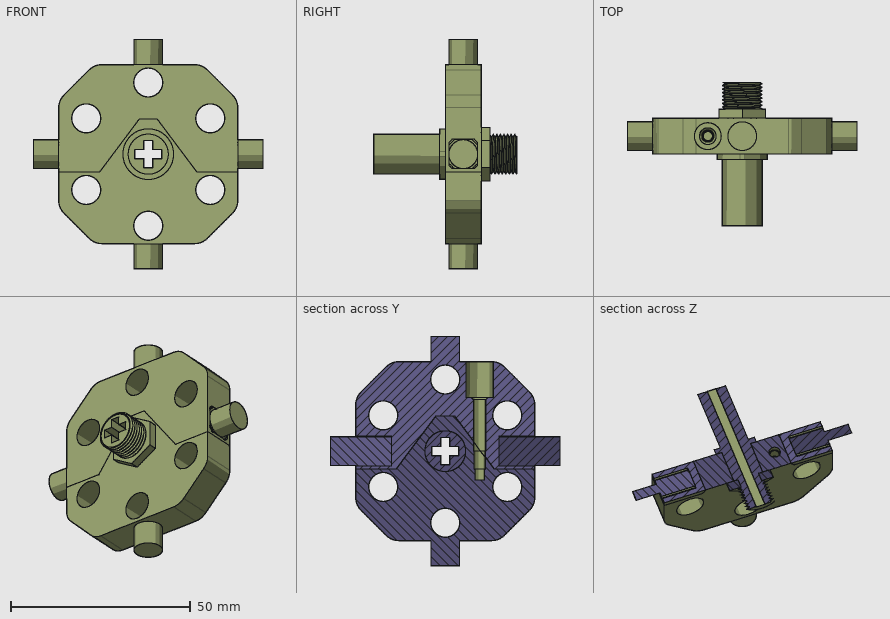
import cadquery as cq
import math

OVERALL = 64.0
PLATE_SIZE = 50.0
PLATE_THICKNESS = 10.05
CORNER_CUT = 10.0
CORNER_RADIUS = 5.0

JOINT_Z = -5.0
JOINT_KNEE_X = 13.6
JOINT_PEAK_Z = 9.8
JOINT_PEAK_HALF_WIDTH = 2.5

HOLE_COUNT = 6
HOLE_DIAMETER = 8.0
HOLE_CIRCLE_RADIUS = 20.0

VERTICAL_PIN_DIAMETER = 8.0
SIDE_PIN_DIAMETER = 8.05
PIN_BASE_CUT = 1.55
POCKET_HEADROOM = 0.1
POCKET_CUT = 0.95
POCKET_DEPTH = 10.0

SCREW_X = -9.6
SCREW_HEAD_DIAMETER = 7.5
SCREW_SEAT_DEPTH = 10.0
SCREW_SINK_DIAMETER = 4.7
SCREW_CLEARANCE_DIAMETER = 3.4
SCREW_THREAD_DIAMETER = 3.1
SCREW_CORE_DIAMETER = 2.55
SCREW_SINK_BOTTOM_Z = 14.35
SCREW_THREAD_TOP_Z = 0.0
SCREW_THREAD_BOTTOM_Z = -5.0
SCREW_CORE_BOTTOM_Z = -8.0

SHAFT_DIAMETER = 11.2
SHAFT_FRONT_Y = -25.0
COLLAR_DIAMETER = 14.15
COLLAR_ACROSS_FLATS = 14.1
COLLAR_HEIGHT = 1.55
SPINDLE_BACK_Y = 15.0
THREAD_DIAMETER = 11.15
THREAD_ROOT_DIAMETER = 9.7
THREAD_PITCH = 1.0
THREAD_RIDGE_WIDTH = 0.9
THREAD_RUN_IN = 0.9
THREAD_OVERLAP = 0.05
CROSS_LENGTH = 7.5
CROSS_WIDTH = 2.5

NUT_ACROSS_FLATS = 13.0
NUT_THICKNESS = 2.5
NUT_SIDES = 6
CORNER_UP_ANGLE = 90

PLATE_HALF = PLATE_SIZE / 2
PLATE_FRONT_Y = -PLATE_THICKNESS / 2
PLATE_BACK_Y = PLATE_THICKNESS / 2
NUT_BACK_Y = PLATE_BACK_Y + NUT_THICKNESS
PIN_LENGTH = OVERALL / 2 - PLATE_HALF


def xz_plane(y):
    """Workplane across the spindle axis; its own normal points to -Y."""
    return cq.Workplane("XZ", origin=(0, y, 0))


def cylinder_along_y(diameter, start_y, end_y):
    return xz_plane(start_y).circle(diameter / 2).extrude(start_y - end_y)


def make_plate():
    plate = (
        xz_plane(PLATE_BACK_Y)
        .rect(PLATE_SIZE, PLATE_SIZE)
        .extrude(PLATE_THICKNESS)
        .edges("|Y")
        .chamfer(CORNER_CUT)
        .edges("|Y")
        .fillet(CORNER_RADIUS)
    )
    holes = (
        xz_plane(PLATE_BACK_Y)
        .polarArray(HOLE_CIRCLE_RADIUS, 90, 360, HOLE_COUNT)
        .circle(HOLE_DIAMETER / 2)
        .extrude(PLATE_THICKNESS)
    )
    bore = cylinder_along_y(SHAFT_DIAMETER, PLATE_FRONT_Y, PLATE_BACK_Y)
    return plate.cut(holes).cut(bore).cut(make_screw_hole())


def make_screw_hole():
    """Counterbored and countersunk hole from the top edge, stepped down to a thread core."""
    seat_z = PLATE_HALF - SCREW_SEAT_DEPTH
    profile = [
        (0, PLATE_HALF),
        (SCREW_HEAD_DIAMETER / 2, PLATE_HALF),
        (SCREW_HEAD_DIAMETER / 2, seat_z),
        (SCREW_SINK_DIAMETER / 2, seat_z),
        (SCREW_CLEARANCE_DIAMETER / 2, SCREW_SINK_BOTTOM_Z),
        (SCREW_CLEARANCE_DIAMETER / 2, SCREW_THREAD_TOP_Z),
        (SCREW_THREAD_DIAMETER / 2, SCREW_THREAD_TOP_Z),
        (SCREW_THREAD_DIAMETER / 2, SCREW_THREAD_BOTTOM_Z),
        (SCREW_CORE_DIAMETER / 2, SCREW_THREAD_BOTTOM_Z),
        (SCREW_CORE_DIAMETER / 2, SCREW_CORE_BOTTOM_Z),
        (0, SCREW_CORE_BOTTOM_Z),
    ]
    hole = cq.Workplane("XZ").polyline(profile).close().revolve(360, (0, 0, 0), (0, 1, 0))
    return hole.translate((SCREW_X, 0, 0))


def make_lower_region():
    """Everything below the joint, as a block larger than the plate."""
    reach = OVERALL
    outline = [
        (-reach, -reach),
        (-reach, JOINT_Z),
        (-JOINT_KNEE_X, JOINT_Z),
        (-JOINT_PEAK_HALF_WIDTH, JOINT_PEAK_Z),
        (JOINT_PEAK_HALF_WIDTH, JOINT_PEAK_Z),
        (JOINT_KNEE_X, JOINT_Z),
        (reach, JOINT_Z),
        (reach, -reach),
    ]
    return xz_plane(PLATE_BACK_Y).polyline(outline).close().extrude(PLATE_THICKNESS)


def make_vertical_pin(direction):
    """Pin on the top (direction +1) or bottom (direction -1) edge of the plate."""
    plane = cq.Workplane("XY", origin=(0, 0, direction * PLATE_HALF))
    return plane.circle(VERTICAL_PIN_DIAMETER / 2).extrude(direction * PIN_LENGTH)


def make_pin_block(headroom, corner_cut, side):
    """Square block with cut corners, set into the plate side and made taller by the headroom."""
    plane = cq.Workplane("YZ", origin=(side * PLATE_HALF, 0, headroom / 2))
    block = plane.rect(SIDE_PIN_DIAMETER, SIDE_PIN_DIAMETER + headroom).extrude(-side * POCKET_DEPTH)
    return block.edges("|X").chamfer(corner_cut)


def make_upper_half():
    upper = make_plate().cut(make_lower_region()).union(make_vertical_pin(1))
    for side in (-1, 1):
        upper = upper.cut(make_pin_block(POCKET_HEADROOM, POCKET_CUT, side))
    return upper


def make_lower_half():
    return make_plate().intersect(make_lower_region()).union(make_vertical_pin(-1))


def make_side_pin(side):
    """Round pin on a square base, on the +X (side +1) or -X (side -1) edge."""
    plane = cq.Workplane("YZ", origin=(side * PLATE_HALF, 0, 0))
    shank = plane.circle(SIDE_PIN_DIAMETER / 2).extrude(side * PIN_LENGTH)
    return make_pin_block(0, PIN_BASE_CUT, side).union(shank)


def make_collar():
    """Round collar with four narrow flats."""
    collar = cylinder_along_y(COLLAR_DIAMETER, PLATE_FRONT_Y - COLLAR_HEIGHT, PLATE_FRONT_Y)
    flats = (
        xz_plane(PLATE_FRONT_Y)
        .rect(COLLAR_ACROSS_FLATS, COLLAR_ACROSS_FLATS)
        .extrude(COLLAR_HEIGHT)
    )
    return collar.intersect(flats)


def make_thread():
    """Helical ridge on the root cylinder behind the nut, trimmed flush at both ends."""
    root_radius = THREAD_ROOT_DIAMETER / 2
    crest_radius = THREAD_DIAMETER / 2
    start_y = NUT_BACK_Y - THREAD_RUN_IN
    length = SPINDLE_BACK_Y - NUT_BACK_Y + 2 * THREAD_PITCH
    sunk_radius = root_radius - THREAD_OVERLAP
    half_base = THREAD_RIDGE_WIDTH / 2
    helix = cq.Wire.makeHelix(THREAD_PITCH, length, root_radius)
    ridge = (
        cq.Workplane("XZ")
        .polyline([(sunk_radius, -half_base), (crest_radius, 0), (sunk_radius, half_base)])
        .close()
        .sweep(cq.Workplane(helix), isFrenet=True)
        .rotate((0, 0, 0), (1, 0, 0), -90)
        .translate((0, start_y, 0))
    )
    core = cylinder_along_y(THREAD_ROOT_DIAMETER, NUT_BACK_Y, SPINDLE_BACK_Y)
    limits = cylinder_along_y(2 * THREAD_DIAMETER, NUT_BACK_Y, SPINDLE_BACK_Y)
    return core.union(ridge.intersect(limits))


def make_spindle():
    shaft = cylinder_along_y(SHAFT_DIAMETER, SHAFT_FRONT_Y, PLATE_BACK_Y)
    neck = cylinder_along_y(THREAD_ROOT_DIAMETER, PLATE_BACK_Y, NUT_BACK_Y)
    spindle = shaft.union(make_collar()).union(neck).union(make_thread())
    for width, height in ((CROSS_LENGTH, CROSS_WIDTH), (CROSS_WIDTH, CROSS_LENGTH)):
        slot = xz_plane(SPINDLE_BACK_Y).rect(width, height).extrude(SPINDLE_BACK_Y - SHAFT_FRONT_Y)
        spindle = spindle.cut(slot)
    return spindle


def make_nut():
    across_corners = NUT_ACROSS_FLATS / math.cos(math.pi / NUT_SIDES)
    return (
        xz_plane(NUT_BACK_Y)
        .polygon(NUT_SIDES, across_corners)
        .extrude(NUT_THICKNESS)
        .rotate((0, 0, 0), (0, 1, 0), CORNER_UP_ANGLE)
        .cut(cylinder_along_y(THREAD_ROOT_DIAMETER, PLATE_BACK_Y, NUT_BACK_Y))
    )


upper_half = make_upper_half()
lower_half = make_lower_half()
side_pins = [make_side_pin(side) for side in (-1, 1)]
spindle = make_spindle()
nut = make_nut()

result = cq.Compound.makeCompound(
    [
        *upper_half.solids().vals(),
        *lower_half.solids().vals(),
        *[pin.solids().val() for pin in side_pins],
        *spindle.solids().vals(),
        *nut.solids().vals(),
    ]
)